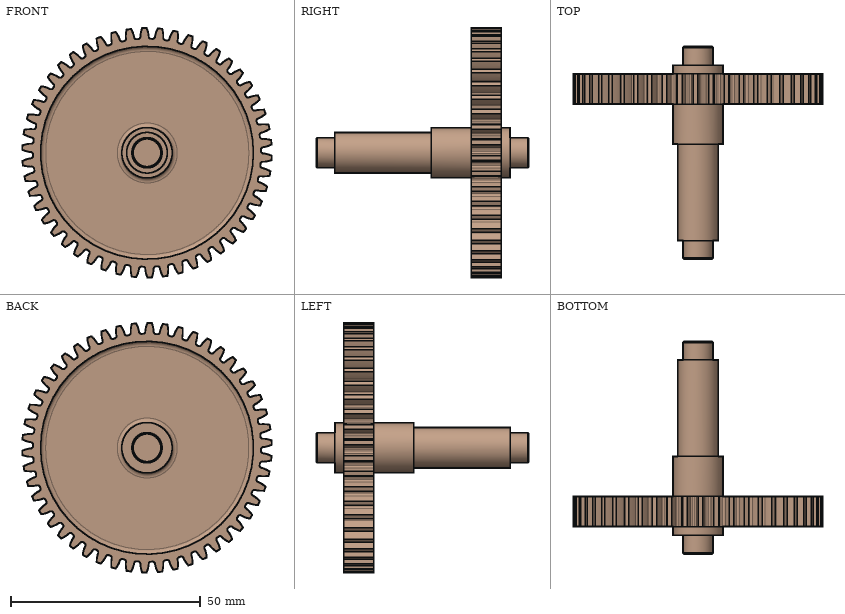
import cadquery as cq
import math

tooth_count = 50
tip_diameter = 66.05
pressure_angle = math.radians(14.5)
root_clearance_ratio = 0.25
tooth_phase = math.radians(-2.4)
face_width = 8.0

module = tip_diameter / (tooth_count + 2)
tip_radius = tip_diameter / 2
pitch_radius = module * tooth_count / 2
root_radius = pitch_radius - (1 + root_clearance_ratio) * module
base_radius = pitch_radius * math.cos(pressure_angle)
root_fillet = (base_radius**2 - root_radius**2) / (2 * root_radius)
tooth_pitch = 2 * math.pi / tooth_count
flank_points = 5

recess_diameter = 56.25
recess_depth = 3.0
recess_fillet = 1.25

hub_diameter = 13.35
neck_diameter = 10.75
journal_diameter = 8.0
hub_front_overhang = 10.55
hub_rear_overhang = 2.3
neck_length = 25.5
front_journal_length = 4.9
rear_journal_length = 4.95
journal_chamfer = 0.3

front_face = -face_width / 2
rear_face = face_width / 2
hub_front = front_face - hub_front_overhang
hub_rear = rear_face + hub_rear_overhang
neck_front = hub_front - neck_length
shaft_front = neck_front - front_journal_length
shaft_rear = hub_rear + rear_journal_length


def polar(radius, angle):
    return (radius * math.cos(angle), radius * math.sin(angle))


def involute(angle):
    return math.tan(angle) - angle


def half_tooth_angle(radius):
    """Half the angle a tooth spans at a radius on or above the base circle."""
    flank_angle = math.acos(min(1.0, base_radius / radius))
    return tooth_pitch / 4 + involute(pressure_angle) - involute(flank_angle)


def cylinder(diameter, start, end):
    """Cylinder about the Y axis from Y = start to Y = end."""
    return cq.Workplane("XZ", origin=(0, end, 0)).circle(diameter / 2).extrude(end - start)


def gear_blank():
    """Toothed disc: root fillets up to the base circle and involute flanks above it."""
    steps = [i / (flank_points - 1) for i in range(flank_points)]
    flank_radii = [base_radius + (tip_radius - base_radius) * step for step in steps]
    base_half_angle = half_tooth_angle(base_radius)
    fillet_angle = math.atan2(root_fillet, base_radius)
    root_half_angle = base_half_angle + fillet_angle

    outline = cq.Workplane("XZ", origin=(0, rear_face, 0))
    outline = outline.moveTo(*polar(root_radius, tooth_phase - root_half_angle))
    for i in range(tooth_count):
        center = tooth_phase + i * tooth_pitch
        next_center = center + tooth_pitch
        rising = [polar(r, center - half_tooth_angle(r)) for r in flank_radii]
        falling = [polar(r, center + half_tooth_angle(r)) for r in reversed(flank_radii)]
        outline = (
            outline.radiusArc(rising[0], root_fillet)
            .spline(rising[1:], includeCurrent=True)
            .threePointArc(polar(tip_radius, center), falling[0])
            .spline(falling[1:], includeCurrent=True)
            .radiusArc(polar(root_radius, center + root_half_angle), root_fillet)
            .threePointArc(
                polar(root_radius, center + tooth_pitch / 2),
                polar(root_radius, next_center - root_half_angle),
            )
        )
    return outline.close().extrude(face_width)


def recess(start, end, floor_selector):
    """Ring cut between hub and rim, with both floor corners rounded."""
    ring = cylinder(recess_diameter, start, end).cut(cylinder(hub_diameter, start, end))
    return ring.faces(floor_selector).edges().fillet(recess_fillet)


def stepped_shaft():
    hub = cylinder(hub_diameter, hub_front, hub_rear)
    neck = cylinder(neck_diameter, neck_front, hub_front)
    front_journal = cylinder(journal_diameter, shaft_front, neck_front)
    front_journal = front_journal.faces("<Y").chamfer(journal_chamfer)
    rear_journal = cylinder(journal_diameter, hub_rear, shaft_rear)
    rear_journal = rear_journal.faces(">Y").chamfer(journal_chamfer)
    return hub.union(neck).union(front_journal).union(rear_journal)


front_recess = recess(front_face, front_face + recess_depth, ">Y")
rear_recess = recess(rear_face - recess_depth, rear_face, "<Y")

gear = gear_blank().cut(front_recess).cut(rear_recess)
result = gear.union(stepped_shaft())